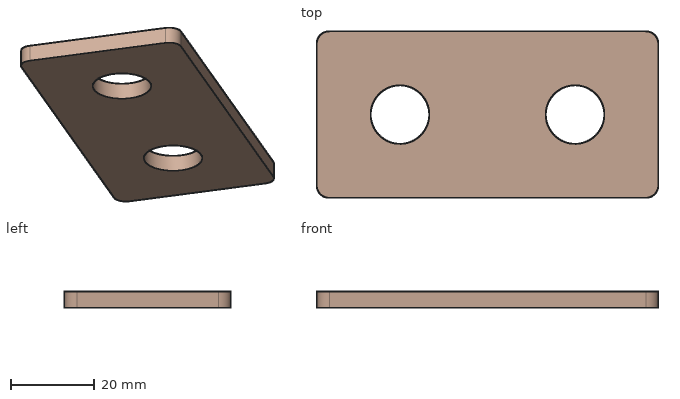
import cadquery as cq

plate_length = 82.0
plate_width = 40.0
plate_thickness = 4.0
corner_radius = 3.0

hole_diameter = 14.0
hole_spacing = 42.0


def make_plate():
    """Flat rectangular plate with rounded vertical corners, resting on Z = 0."""
    blank = cq.Workplane("XY").box(
        plate_length, plate_width, plate_thickness, centered=(True, True, False)
    )
    return blank.edges("|Z").fillet(corner_radius)


def cut_holes(plate):
    """Cut the two through holes, spaced symmetrically along the plate length."""
    hole_centres = [(side * hole_spacing / 2, 0) for side in (-1, 1)]
    return plate.faces(">Z").workplane().pushPoints(hole_centres).hole(hole_diameter)


result = cut_holes(make_plate())